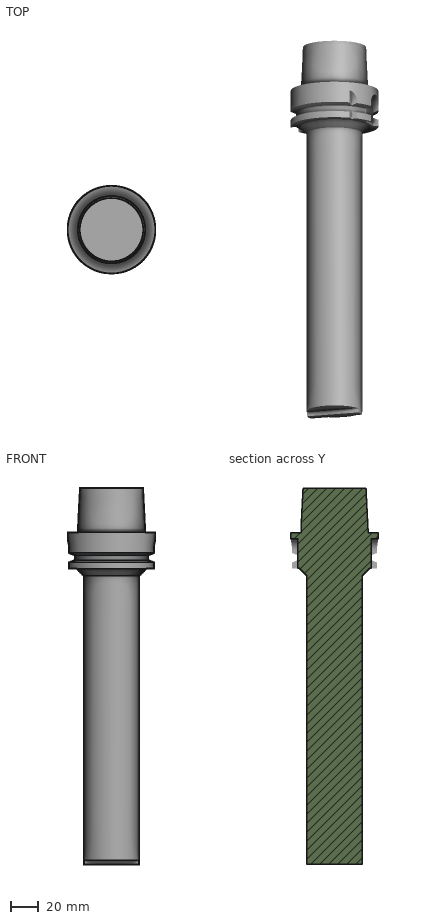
import cadquery as cq
import math

flange_diameter = 63.0
flange_height = 26.0
flange_radius = flange_diameter / 2

shank_length = 32.0
collar_diameter = 48.43
collar_height = 2.0
taper_ratio = 9.98

groove_diameter = 55.0
groove_floor_width = 3.4
groove_center_depth = 18.13
groove_flank_angle = 23.0

total_length = 270.0
bar_diameter = 40.0
cone_diameter = 50.0
cone_height = (cone_diameter - bar_diameter) / 2

tongue_width = 8.0
tongue_height = 3.0

slot_width = 16.0
slot_top_depth = 4.8
slot_floor_distance = 26.5

notch_width = slot_width
notch_offset = 28.1
notch_floor_distance = 20.0

bottom_z = shank_length - total_length
bar_end_z = bottom_z + tongue_height


def make_body():
    """Revolve the shank, flange, cone and bar as one profile."""
    collar_radius = collar_diameter / 2
    tip_radius = collar_radius - (shank_length - collar_height) / taper_ratio / 2
    groove_radius = groove_diameter / 2
    bar_radius = bar_diameter / 2
    half_floor = groove_floor_width / 2
    flank_height = (flange_radius - groove_radius) * math.tan(math.radians(groove_flank_angle))
    half_mouth = half_floor + flank_height
    profile = (
        cq.Workplane("XZ")
        .moveTo(0, shank_length)
        .lineTo(tip_radius, shank_length)
        .lineTo(collar_radius, collar_height)
        .lineTo(collar_radius, 0)
        .lineTo(flange_radius, 0)
        .lineTo(flange_radius, half_mouth - groove_center_depth)
        .lineTo(groove_radius, half_floor - groove_center_depth)
        .lineTo(groove_radius, -half_floor - groove_center_depth)
        .lineTo(flange_radius, -half_mouth - groove_center_depth)
        .lineTo(flange_radius, -flange_height)
        .lineTo(cone_diameter / 2, -flange_height)
        .lineTo(bar_radius, -flange_height - cone_height)
        .lineTo(bar_radius, bar_end_z)
        .lineTo(0, bar_end_z)
        .close()
    )
    return profile.revolve(360, (0, 0, 0), (0, 1, 0))


def make_slot(width, center_y, floor_distance):
    """Cutter for a round-topped slot on the -X side, outward from its floor."""
    radius = width / 2
    arc_z = -slot_top_depth - radius
    return (
        cq.Workplane("YZ", origin=(-floor_distance, 0, 0))
        .moveTo(center_y - radius, -flange_height)
        .lineTo(center_y - radius, arc_z)
        .threePointArc((center_y, -slot_top_depth), (center_y + radius, arc_z))
        .lineTo(center_y + radius, -flange_height)
        .close()
        .extrude(-flange_radius)
    )


def make_tongue():
    """Bar-wide tongue along X, trimmed to the bar's round outline."""
    blank = cq.Workplane("XY", origin=(0, 0, bottom_z)).circle(bar_diameter / 2).extrude(tongue_height)
    strip = cq.Workplane("XY", origin=(0, 0, bottom_z)).rect(bar_diameter, tongue_width).extrude(tongue_height)
    return blank.intersect(strip)


drive_slot = make_slot(slot_width, 0, slot_floor_distance)
notch = make_slot(notch_width, notch_offset, notch_floor_distance)

result = make_body().union(make_tongue())
result = result.cut(drive_slot).cut(drive_slot.rotate((0, 0, 0), (0, 0, 1), 180))
result = result.cut(notch)